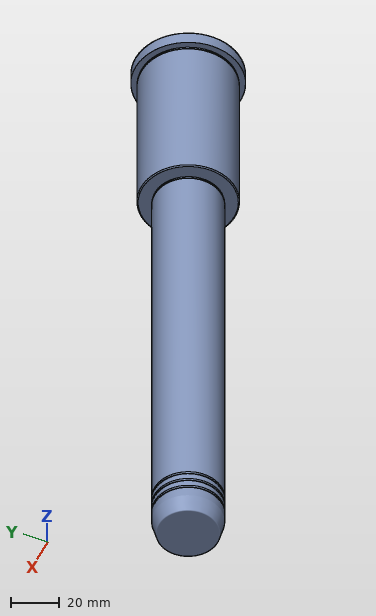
import cadquery as cq
import math

total_length = 271.0
head_diameter = 47.0
head_height = 6.0
body_diameter = 42.0
body_length = 70.0
shank_diameter = 30.0

head_chamfer = 0.5
body_chamfer = 0.5
undercut_width = 1.0
undercut_depth = 0.25

groove_count = 3
groove_pitch = 4.0
groove_radius = 0.5
lowest_groove_height = 12.5

tip_length = 7.0
tip_half_angle = 15.0
tip_fillet = 0.5

head_bottom = total_length - head_height
body_bottom = head_bottom - body_length
shank_radius = shank_diameter / 2
tip_radius = shank_radius - tip_length * math.tan(math.radians(tip_half_angle))


def cylinder(diameter, bottom, height):
    """Solid cylinder on the Z axis, standing at the given height."""
    return cq.Workplane("XY").workplane(offset=bottom).circle(diameter / 2).extrude(height)


def cut_ring(solid, diameter, depth, bottom, width):
    """Turn a square groove of the given depth into a cylindrical surface."""
    ring = cylinder(diameter, bottom, width).cut(cylinder(diameter - 2 * depth, bottom, width))
    return solid.cut(ring)


def make_head():
    head = cylinder(head_diameter, head_bottom, head_height)
    return head.faces(">Z").edges().chamfer(head_chamfer)


def make_body():
    """Guide body with a chamfered lower edge and an undercut below the head."""
    body = cylinder(body_diameter, body_bottom, body_length)
    body = body.faces("<Z").edges().chamfer(body_chamfer)
    return cut_ring(body, body_diameter, undercut_depth, head_bottom - undercut_width, undercut_width)


def make_shank():
    """Long shank with an undercut below the body and half-round grooves near the tip."""
    shank = cylinder(shank_diameter, tip_length, body_bottom - tip_length)
    shank = cut_ring(shank, shank_diameter, undercut_depth, body_bottom - undercut_width, undercut_width)
    for index in range(groove_count):
        groove_height = lowest_groove_height + index * groove_pitch
        shank = shank.cut(cq.Solid.makeTorus(shank_radius, groove_radius, cq.Vector(0, 0, groove_height)))
    return shank


def make_tip():
    """Conical lead-in, narrowing towards a bottom face with a rounded edge."""
    cone = cq.Workplane("XY").circle(tip_radius)
    cone = cone.workplane(offset=tip_length).circle(shank_radius).loft(ruled=True)
    return cone.faces("<Z").edges().fillet(tip_fillet)


result = make_head().union(make_body()).union(make_shank()).union(make_tip())